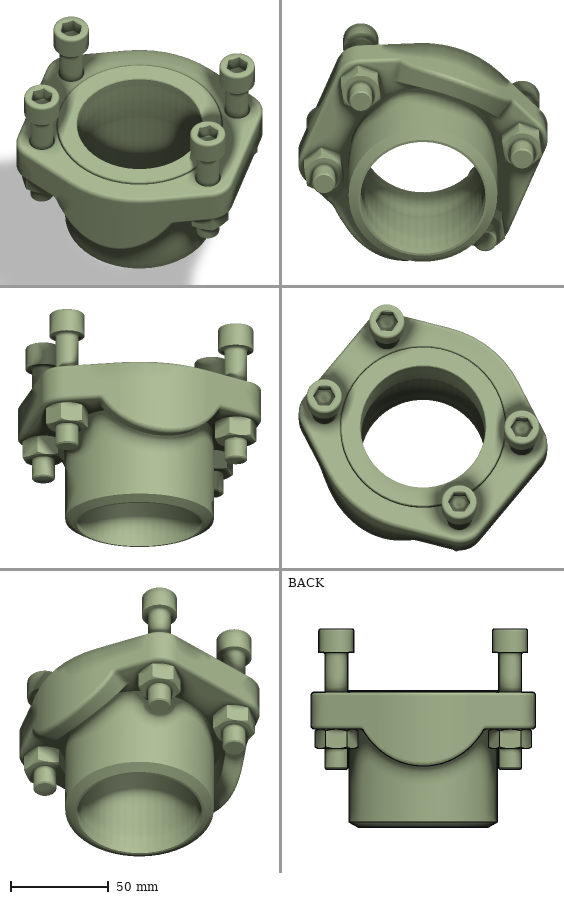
import cadquery as cq
import math

FLANGE_LENGTH = 115.0
FLANGE_WIDTH = 109.0
FLANGE_THICKNESS = 19.0
BOLT_SPACING_X = 88.9
BOLT_SPACING_Y = 50.8
BOLT_HOLE_DIAMETER = 13.0
TOP_FILLET = 2.0
BOTTOM_FILLET = 2.0
SEAT_DIAMETER = 85.0
SEAT_DEPTH = 9.2
NECK_HOLE_DIAMETER = 75.0
RIM_CHAMFER = 0.4

LUG_DEPTH = 38.3
LUG_DRAFT = 10.0
LUG_CORNER_FILLET = 2.5
LUG_BORE_DIAMETER = 88.3

SLEEVE_TOP = 0.7
SLEEVE_LENGTH = 69.9
SLEEVE_DIAMETER = 76.1
COLLAR_DIAMETER = 84.1
NECK_DIAMETER = 74.0
NECK_END = -27.4
BORE_DIAMETER = 64.0
THROAT_START = -4.0
THROAT_BULGE = 0.5
WELD_BEVEL_WIDTH = 4.8
WELD_BEVEL_ANGLE = 30.0

HEAD_TOP = 32.3
HEAD_DIAMETER = 18.0
HEAD_HEIGHT = 12.0
HEAD_FILLET = 1.2
SHANK_DIAMETER = 11.7
SHANK_LENGTH = 60.0
SHANK_CHAMFER = 0.7
SHANK_FILLET = 1.2
SOCKET_FLATS = 10.0
SOCKET_MOUTH_DIAMETER = 11.7
SOCKET_MOUTH_ANGLE = 30.0
SOCKET_DEPTH = 7.5
SOCKET_TURN = 37.0
DRILL_POINT_ANGLE = 30.0

NUT_FLATS = 19.0
NUT_HEIGHT = 10.0
NUT_CHAMFER_ANGLE = 30.0

BOLT_X = BOLT_SPACING_X / 2
BOLT_Y = BOLT_SPACING_Y / 2
CORNER_RADIUS = FLANGE_LENGTH / 2 - BOLT_X
SIDE_RADIUS = FLANGE_WIDTH / 2
BOLT_POINTS = [(sx * BOLT_X, sy * BOLT_Y) for sx in (-1, 1) for sy in (-1, 1)]


def tan_deg(angle):
    return math.tan(math.radians(angle))


def hexagon_corners(flats):
    """Distance across the corners of a hexagon from the distance across its flats."""
    return flats / math.cos(math.radians(30))


def revolve_profile(points):
    """Turn a closed (radius, z) outline about the Z axis."""
    return cq.Workplane("XZ").polyline(points).close().revolve(360, (0, 0, 0), (0, 1, 0))


def flange_outline(bottom):
    """Outline of four corner arcs about the bolts and two side arcs about the axis, joined by tangents."""
    bolt_distance = math.hypot(BOLT_X, BOLT_Y)
    tangent_angle = math.atan2(BOLT_Y, BOLT_X) + math.acos((SIDE_RADIUS - CORNER_RADIUS) / bolt_distance)
    side_x = SIDE_RADIUS * math.cos(tangent_angle)
    side_y = SIDE_RADIUS * math.sin(tangent_angle)
    corner_x = BOLT_X + CORNER_RADIUS * math.cos(tangent_angle)
    corner_y = BOLT_Y + CORNER_RADIUS * math.sin(tangent_angle)
    corner_mid_x = BOLT_X + CORNER_RADIUS * math.cos(tangent_angle / 2)
    corner_mid_y = BOLT_Y + CORNER_RADIUS * math.sin(tangent_angle / 2)
    end_x = FLANGE_LENGTH / 2
    return (
        cq.Workplane("XY", origin=(0, 0, bottom))
        .moveTo(end_x, -BOLT_Y)
        .lineTo(end_x, BOLT_Y)
        .threePointArc((corner_mid_x, corner_mid_y), (corner_x, corner_y))
        .lineTo(side_x, side_y)
        .threePointArc((0, SIDE_RADIUS), (-side_x, side_y))
        .lineTo(-corner_x, corner_y)
        .threePointArc((-corner_mid_x, corner_mid_y), (-end_x, BOLT_Y))
        .lineTo(-end_x, -BOLT_Y)
        .threePointArc((-corner_mid_x, -corner_mid_y), (-corner_x, -corner_y))
        .lineTo(-side_x, -side_y)
        .threePointArc((0, -SIDE_RADIUS), (side_x, -side_y))
        .lineTo(corner_x, -corner_y)
        .threePointArc((corner_mid_x, -corner_mid_y), (end_x, -BOLT_Y))
        .close()
    )


def make_lug_cone(side):
    """Cone about the Y axis that widens from the middle of the flange to one long side."""
    inner_radius = LUG_DEPTH - SIDE_RADIUS * tan_deg(LUG_DRAFT)
    return cq.Workplane(
        cq.Solid.makeCone(inner_radius, LUG_DEPTH, SIDE_RADIUS, cq.Vector(0, 0, 0), cq.Vector(0, side, 0))
    )


def make_flange_blank():
    """Flange plate with its two lugs and rounded edges, before the holes."""
    plate = flange_outline(-FLANGE_THICKNESS).extrude(FLANGE_THICKNESS)
    for side in (-1, 1):
        lug = flange_outline(-LUG_DEPTH).extrude(LUG_DEPTH).intersect(make_lug_cone(side))
        plate = plate.union(lug)

    margin = 0.1
    corner_box = cq.selectors.BoxSelector(
        (-FLANGE_LENGTH, -FLANGE_WIDTH, -FLANGE_THICKNESS - margin),
        (FLANGE_LENGTH, FLANGE_WIDTH, -FLANGE_THICKNESS + margin),
    )
    plate = plate.faces("%CONE").edges(corner_box).fillet(LUG_CORNER_FILLET)

    plate = plate.faces(">Z").edges().fillet(TOP_FILLET)
    lowest_point = (0, SIDE_RADIUS, -LUG_DEPTH)
    plate = plate.edges(cq.selectors.NearestToPointSelector(lowest_point)).fillet(BOTTOM_FILLET)
    return plate


def make_rim_chamfer(diameter, x, y):
    """Cone that breaks the rim of a hole in the top face."""
    radius = diameter / 2
    base = cq.Vector(x, y, -RIM_CHAMFER)
    return cq.Workplane(cq.Solid.makeCone(radius, radius + RIM_CHAMFER, RIM_CHAMFER, base))


def cut_flange_holes(plate):
    """Cut the sleeve seat, the neck hole, the relief between the lugs and the bolt holes."""
    lug_relief = cq.Workplane("XY", origin=(0, 0, -FLANGE_THICKNESS)).circle(LUG_BORE_DIAMETER / 2)
    plate = plate.cut(lug_relief.extrude(-LUG_DEPTH))
    plate = plate.cut(cq.Workplane("XY").circle(NECK_HOLE_DIAMETER / 2).extrude(-LUG_DEPTH))
    plate = plate.cut(cq.Workplane("XY").circle(SEAT_DIAMETER / 2).extrude(-SEAT_DEPTH))
    plate = plate.cut(make_rim_chamfer(SEAT_DIAMETER, 0, 0))
    for x, y in BOLT_POINTS:
        bolt_hole = cq.Workplane("XY").center(x, y).circle(BOLT_HOLE_DIAMETER / 2).extrude(-FLANGE_THICKNESS)
        plate = plate.cut(bolt_hole).cut(make_rim_chamfer(BOLT_HOLE_DIAMETER, x, y))
    return plate


def make_sleeve():
    """Turned sleeve: collar in the flange seat, conical neck, plain pipe end with a weld bevel."""
    bore = BORE_DIAMETER / 2
    outer = SLEEVE_DIAMETER / 2
    collar = COLLAR_DIAMETER / 2
    bottom = SLEEVE_TOP - SLEEVE_LENGTH
    bevel_height = WELD_BEVEL_WIDTH * tan_deg(WELD_BEVEL_ANGLE)
    throat_middle = (THROAT_START + NECK_END) / 2
    return (
        cq.Workplane("XZ")
        .moveTo(bore + RIM_CHAMFER, SLEEVE_TOP)
        .lineTo(collar - RIM_CHAMFER, SLEEVE_TOP)
        .lineTo(collar, SLEEVE_TOP - RIM_CHAMFER)
        .lineTo(collar, -SEAT_DEPTH)
        .lineTo(NECK_DIAMETER / 2, -SEAT_DEPTH)
        .lineTo(NECK_DIAMETER / 2, -FLANGE_THICKNESS)
        .lineTo(outer, NECK_END)
        .lineTo(outer, bottom + bevel_height)
        .lineTo(outer - WELD_BEVEL_WIDTH, bottom)
        .lineTo(bore, bottom)
        .lineTo(bore, NECK_END)
        .threePointArc((bore - THROAT_BULGE, throat_middle), (bore, THROAT_START))
        .lineTo(bore, SLEEVE_TOP - RIM_CHAMFER)
        .close()
        .revolve(360, (0, 0, 0), (0, 1, 0))
    )


def make_bolt_blank():
    """Turned head and shank, with a rounded head rim and a rounded corner under the head."""
    head_bottom = HEAD_TOP - HEAD_HEIGHT
    head = HEAD_DIAMETER / 2
    shank = SHANK_DIAMETER / 2
    tip = head_bottom - SHANK_LENGTH
    return (
        cq.Workplane("XZ")
        .moveTo(0, HEAD_TOP)
        .lineTo(head - HEAD_FILLET, HEAD_TOP)
        .radiusArc((head, HEAD_TOP - HEAD_FILLET), HEAD_FILLET)
        .lineTo(head, head_bottom)
        .lineTo(shank + SHANK_FILLET, head_bottom)
        .radiusArc((shank, head_bottom - SHANK_FILLET), -SHANK_FILLET)
        .lineTo(shank, tip + SHANK_CHAMFER)
        .lineTo(shank - SHANK_CHAMFER, tip)
        .lineTo(0, tip)
        .close()
        .revolve(360, (0, 0, 0), (0, 1, 0))
    )


def make_bolt(x, y):
    bolt = make_bolt_blank()

    socket = cq.Workplane("XY", origin=(0, 0, HEAD_TOP)).polygon(6, hexagon_corners(SOCKET_FLATS))
    socket = socket.extrude(-SOCKET_DEPTH).rotate((0, 0, 0), (0, 0, 1), SOCKET_TURN)
    mouth = SOCKET_MOUTH_DIAMETER / 2
    mouth_depth = mouth * tan_deg(SOCKET_MOUTH_ANGLE)
    mouth_cone = revolve_profile([(0, HEAD_TOP), (mouth, HEAD_TOP), (0, HEAD_TOP - mouth_depth)])
    point = SOCKET_FLATS / 2
    socket_bottom = HEAD_TOP - SOCKET_DEPTH
    point_depth = point * tan_deg(DRILL_POINT_ANGLE)
    drill_point = revolve_profile([(0, socket_bottom), (point, socket_bottom), (0, socket_bottom - point_depth)])
    bolt = bolt.cut(socket).cut(mouth_cone).cut(drill_point)
    return bolt.translate((x, y, 0))


def make_nut(x, y):
    """Hexagon nut under the flange, with its corners turned off at both ends."""
    top = -FLANGE_THICKNESS
    bottom = top - NUT_HEIGHT
    face = NUT_FLATS / 2
    corner = hexagon_corners(NUT_FLATS) / 2
    chamfer_height = (corner - face) * tan_deg(NUT_CHAMFER_ANGLE)
    turned_blank = revolve_profile(
        [
            (0, bottom),
            (face, bottom),
            (corner, bottom + chamfer_height),
            (corner, top - chamfer_height),
            (face, top),
            (0, top),
        ]
    )
    nut = cq.Workplane("XY", origin=(0, 0, bottom)).polygon(6, 2 * corner).extrude(NUT_HEIGHT)
    nut = nut.intersect(turned_blank)
    nut = nut.cut(cq.Workplane("XY", origin=(0, 0, bottom)).circle(SHANK_DIAMETER / 2).extrude(NUT_HEIGHT))
    return nut.translate((x, y, 0))


flange = cut_flange_holes(make_flange_blank())
sleeve = make_sleeve()
bolts = [make_bolt(x, y) for x, y in BOLT_POINTS]
nuts = [make_nut(x, y) for x, y in BOLT_POINTS]

result = cq.Compound.makeCompound(
    [flange.val(), sleeve.val(), *[bolt.val() for bolt in bolts], *[nut.val() for nut in nuts]]
)